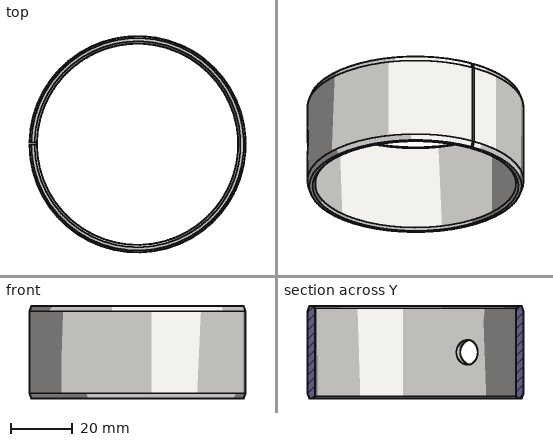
import cadquery as cq
import math

outer_diameter = 70.0
bore_diameter = 65.0
length = 30.0

outer_chamfer_length = 1.8
outer_chamfer_angle = 20.0
inner_chamfer = 0.8

joint_angle = 1.0

oil_hole_diameter = 8.0
oil_hole_angle = 59.0

outer_radius = outer_diameter / 2
bore_radius = bore_diameter / 2
outer_chamfer_depth = outer_chamfer_length * math.tan(math.radians(outer_chamfer_angle))


def bush_wall():
    """Revolve the chamfered wall section about Z, leaving the joint open on the -X side."""
    section = (
        cq.Workplane("XZ")
        .moveTo(bore_radius + inner_chamfer, 0)
        .lineTo(outer_radius - outer_chamfer_depth, 0)
        .lineTo(outer_radius, outer_chamfer_length)
        .lineTo(outer_radius, length - outer_chamfer_length)
        .lineTo(outer_radius - outer_chamfer_depth, length)
        .lineTo(bore_radius + inner_chamfer, length)
        .lineTo(bore_radius, length - inner_chamfer)
        .lineTo(bore_radius, inner_chamfer)
        .close()
    )
    wall = section.revolve(360 - joint_angle, (0, 0, 0), (0, 1, 0))
    return wall.rotate((0, 0, 0), (0, 0, 1), 180)


def oil_hole_cutter():
    """Cylinder from the axis out through the wall at the oil hole angle."""
    return (
        cq.Workplane("YZ", origin=(0, 0, length / 2))
        .circle(oil_hole_diameter / 2)
        .extrude(outer_diameter)
        .rotate((0, 0, 0), (0, 0, 1), oil_hole_angle)
    )


result = bush_wall().cut(oil_hole_cutter())